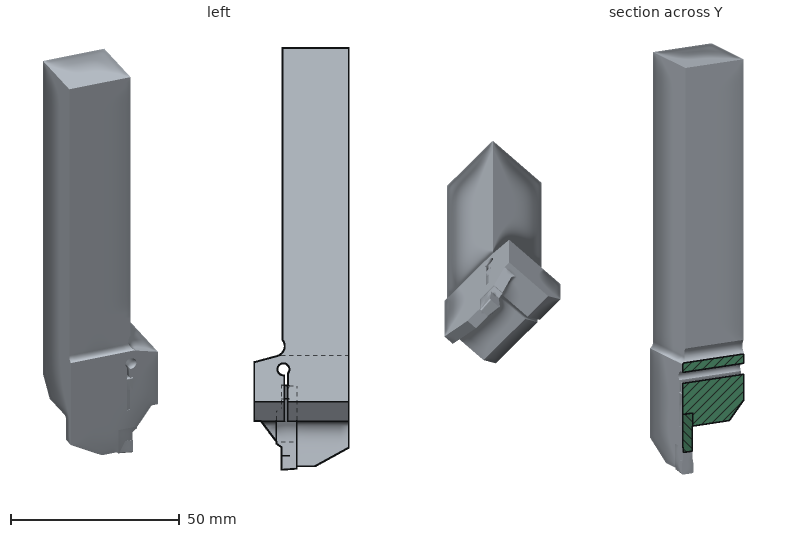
import cadquery as cq
import math


tool_length = 125.0
shank_width = 19.7
shank_depth = 19.75

head_depth = 28.1
head_right = 20.85
head_bottom = 14.45
nose_top = 31.95
nose_slope = 15.0
relief_radius = 3.0
relief_depth = 0.7
side_step_z = 34.0
side_step_radius = 2.0
corner_cut_x = 5.0
corner_cut_z = 5.8

blade_bottom = 1.1
blade_fillet = 1.4
lower_jaw_flat_y = 10.0
lower_jaw_corner_z = 6.6
upper_jaw_tip_z = 8.4
upper_jaw_slope = 53.0

slot_left_y = 18.1
slot_width = 1.0
slot_hole_y = 19.4
slot_hole_z = 29.8
slot_hole_diameter = 3.5

insert_length = 25.2
insert_width = 4.04
insert_right = 21.06
insert_bottom_y = 15.4
insert_top_y = 21.5
cutting_edge_y = 20.0
tip_overhang = 0.4
tip_length = 4.15
notch_start_z = 6.7
notch_end_z = 7.8
flank_angle = 4.5
side_relief = 4.95
back_relief = 2.7
tip_corner_radius = 0.4

insert_left = insert_right - insert_width
insert_height = cutting_edge_y - insert_bottom_y
flank_rise = insert_height * math.tan(math.radians(flank_angle))
blade_left = insert_left + tip_overhang


def side_prism(sketch, x_start, x_end):
    """Extrude an outline drawn in the YZ plane from x_start to x_end."""
    return sketch.extrude(x_end - x_start).translate((x_start, 0, 0))


def make_insert_tip():
    """Wedge-shaped cutting tip at Z = 0, widest along the cutting edge."""
    middle_x = insert_left + insert_width / 2
    top_taper = tip_length * math.tan(math.radians(back_relief))
    side_taper = insert_height * math.tan(math.radians(side_relief))

    def section(y, half_width, bottom_z):
        top_half = half_width - top_taper
        bottom_half = half_width - top_taper * bottom_z / tip_length
        corners = [
            (middle_x - bottom_half, bottom_z),
            (middle_x + bottom_half, bottom_z),
            (middle_x + top_half, tip_length),
            (middle_x - top_half, tip_length),
        ]
        return cq.Wire.makePolygon([cq.Vector(x, y, z) for x, z in corners], close=True)

    rake_face = section(cutting_edge_y, insert_width / 2, 0)
    lower_face = section(insert_bottom_y, insert_width / 2 - side_taper, flank_rise)
    tip = cq.Workplane(cq.Solid.makeLoft([rake_face, lower_face], True))
    cutting_corners = tip.faces("<Z").edges("<X or >X")
    return cutting_corners.fillet(tip_corner_radius)


def make_insert():
    """Double-ended insert, symmetric about its middle height."""
    outline = (
        cq.Workplane("YZ")
        .moveTo(cutting_edge_y, 0)
        .lineTo(cutting_edge_y, notch_start_z)
        .lineTo(insert_top_y, notch_end_z)
        .lineTo(insert_top_y, insert_length - notch_end_z)
        .lineTo(cutting_edge_y, insert_length - notch_start_z)
        .lineTo(cutting_edge_y, insert_length)
        .lineTo(insert_bottom_y, insert_length - flank_rise)
        .lineTo(insert_bottom_y, flank_rise)
        .close()
    )
    body = side_prism(outline, blade_left, insert_right - tip_overhang)
    body = body.faces("<Z or >Z").edges("<X or >X").fillet(tip_corner_radius)
    lower_tip = make_insert_tip()
    upper_tip = lower_tip.mirror("XY", (0, 0, insert_length / 2))
    return body.union(lower_tip).union(upper_tip)


def make_shank_and_head():
    """Side outline of shank and head across the full width of the head."""
    slope = math.radians(nose_slope)
    relief_y = shank_depth - relief_depth + relief_radius
    tangent_y = relief_y - relief_radius * math.sin(slope)
    tangent_z = nose_top + (head_depth - tangent_y) * math.tan(slope)
    relief_z = tangent_z + relief_radius * math.cos(slope)
    relief_start_z = relief_z + math.sqrt(relief_radius**2 - (relief_y - shank_depth) ** 2)
    outline = (
        cq.Workplane("YZ")
        .moveTo(0, head_bottom)
        .lineTo(0, tool_length)
        .lineTo(shank_depth, tool_length)
        .lineTo(shank_depth, relief_start_z)
        .threePointArc((relief_y - relief_radius, relief_z), (tangent_y, tangent_z))
        .lineTo(head_depth, nose_top)
        .lineTo(head_depth, head_bottom)
        .close()
    )
    return side_prism(outline, 0, head_right)


def make_blade():
    """Both jaws as one thin plate; the insert is cut out of it later."""
    jaw_drop = head_bottom - upper_jaw_tip_z
    jaw_root_y = insert_top_y + jaw_drop / math.tan(math.radians(upper_jaw_slope))
    outline = (
        cq.Workplane("YZ")
        .moveTo(0, head_bottom)
        .lineTo(jaw_root_y, head_bottom)
        .lineTo(insert_top_y, upper_jaw_tip_z)
        .lineTo(insert_bottom_y, upper_jaw_tip_z)
        .lineTo(insert_bottom_y, blade_bottom)
        .lineTo(lower_jaw_flat_y, blade_bottom)
        .lineTo(0, lower_jaw_corner_z)
        .close()
    )
    jaw_limits = (
        cq.Workplane("YZ")
        .moveTo(0, head_bottom)
        .lineTo(jaw_root_y, head_bottom)
        .lineTo(insert_top_y, upper_jaw_tip_z)
        .lineTo(0, upper_jaw_tip_z)
        .close()
    )
    root_fillet = (
        cq.Workplane("XZ")
        .moveTo(blade_left, head_bottom)
        .lineTo(blade_left - blade_fillet, head_bottom)
        .radiusArc((blade_left, head_bottom - blade_fillet), blade_fillet)
        .close()
        .extrude(-head_depth)
        .intersect(side_prism(jaw_limits, 0, head_right))
    )
    return side_prism(outline, blade_left, head_right).union(root_fillet)


def make_corner_cut():
    """Sloped corner at the lower left of the head."""
    return (
        cq.Workplane("XZ")
        .moveTo(0, head_bottom)
        .lineTo(corner_cut_x, head_bottom)
        .lineTo(0, head_bottom + corner_cut_z)
        .close()
        .extrude(-head_depth)
    )


def make_side_step_cut():
    """Strip removed beside the shank, rounded where it runs out onto the head."""
    arc_center_x = shank_width + side_step_radius
    arc_height = math.sqrt(side_step_radius**2 - (arc_center_x - head_right) ** 2)
    return (
        cq.Workplane("XZ")
        .moveTo(head_right, side_step_z)
        .radiusArc((shank_width, side_step_z + arc_height), side_step_radius)
        .lineTo(shank_width, tool_length)
        .lineTo(head_right, tool_length)
        .close()
        .extrude(-head_depth)
    )


def make_clamping_slot():
    """Slot with a round end that lets the upper jaw flex."""
    hole = (
        cq.Workplane("YZ")
        .center(slot_hole_y, slot_hole_z)
        .circle(slot_hole_diameter / 2)
        .extrude(head_right)
    )
    slot = cq.Workplane("XY").box(
        head_right, slot_width, slot_hole_z - head_bottom, centered=False
    )
    return hole.union(slot.translate((0, slot_left_y, head_bottom)))


def make_insert_clearance():
    """Opening through the root fillet in front of the insert."""
    return (
        cq.Workplane("XY")
        .box(blade_left, insert_top_y - insert_bottom_y, blade_fillet, centered=False)
        .translate((0, insert_bottom_y, head_bottom - blade_fillet))
    )


def make_holder(insert):
    """Shank, head and jaws with a seat that matches the insert."""
    holder = make_shank_and_head().union(make_blade())
    holder = holder.cut(make_corner_cut())
    holder = holder.cut(make_side_step_cut())
    holder = holder.cut(make_clamping_slot())
    holder = holder.cut(make_insert_clearance())
    return holder.cut(insert)


insert = make_insert()
holder = make_holder(insert)

result = cq.Compound.makeCompound([holder.val(), insert.val()])